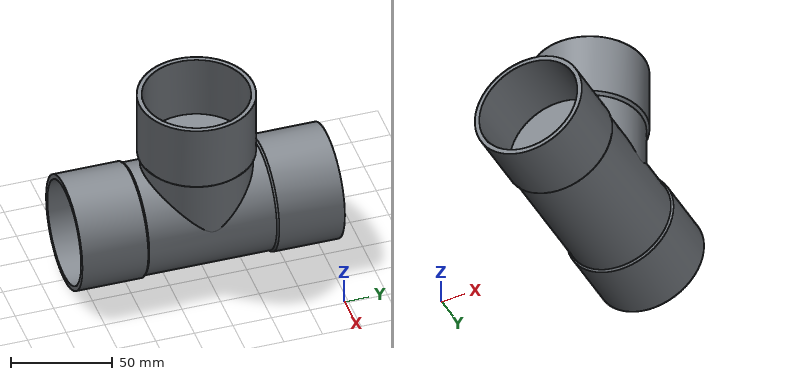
import cadquery as cq

socket_diameter = 59.0
bore_diameter = 54.0
bore_depth = 34.0

run_length = 136.0
run_diameter = 57.0
run_socket_length = 34.0

branch_height = 70.7
branch_diameter = 56.0
branch_socket_length = 35.0
branch_offset = 0.5

run_half = run_length / 2
front_mouth = cq.Plane(origin=(0, -run_half, 0), xDir=(1, 0, 0), normal=(0, 1, 0))
back_mouth = cq.Plane(origin=(0, run_half, 0), xDir=(1, 0, 0), normal=(0, -1, 0))
branch_mouth = cq.Plane(origin=(0, branch_offset, branch_height), xDir=(1, 0, 0), normal=(0, 0, -1))


def pipe_arm(mouth, socket_length, pipe_diameter, arm_length):
    """Solid arm: a socket that tapers at 45 degrees down to a plain pipe."""
    socket_radius = socket_diameter / 2
    pipe_radius = pipe_diameter / 2
    taper_end = socket_length + socket_radius - pipe_radius
    half_profile = [
        (0, 0),
        (socket_radius, 0),
        (socket_radius, socket_length),
        (pipe_radius, taper_end),
        (pipe_radius, arm_length),
        (0, arm_length),
    ]
    profile_plane = cq.Plane(
        origin=mouth.origin,
        xDir=mouth.xDir,
        normal=mouth.xDir.cross(mouth.zDir),
    )
    return cq.Workplane(profile_plane).polyline(half_profile).close().revolve(360, (0, 0), (0, 1))


def socket_bore(mouth):
    """Blind, flat-bottomed bore entering the fitting at a mouth."""
    return cq.Workplane(mouth).circle(bore_diameter / 2).extrude(bore_depth)


body = pipe_arm(front_mouth, run_socket_length, run_diameter, run_half)
body = body.union(pipe_arm(back_mouth, run_socket_length, run_diameter, run_half))
body = body.union(pipe_arm(branch_mouth, branch_socket_length, branch_diameter, branch_height))

for mouth in (front_mouth, back_mouth, branch_mouth):
    body = body.cut(socket_bore(mouth))

result = body